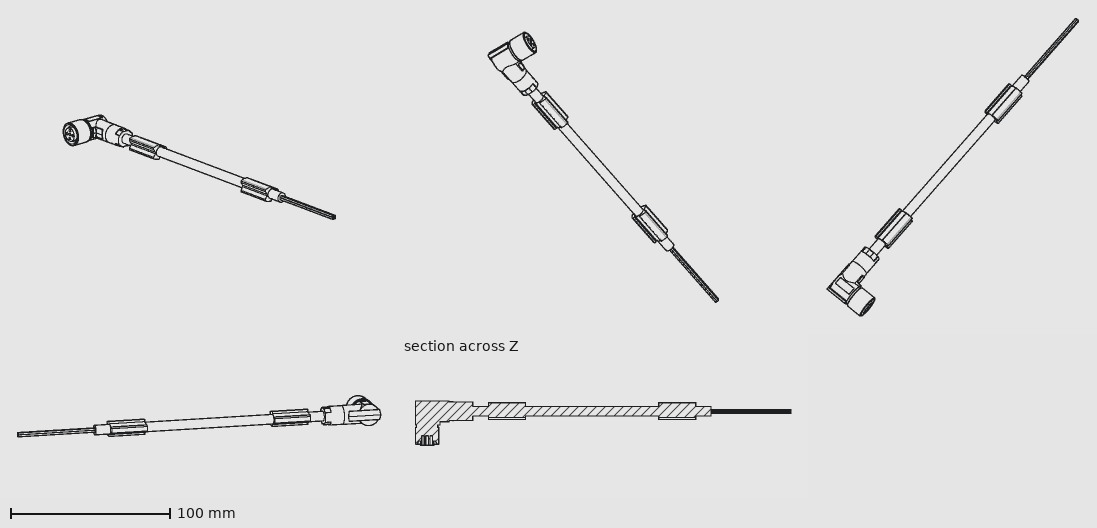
import cadquery as cq
import math

OVERALL_LENGTH = 236.25
JOIN = 0.2

NUT_RADIUS = 7.4
NUT_BACK_Y = -10.0
NUT_FRONT_Y = -20.8
NUT_CHAMFER = 0.3
BORE_MOUTH_RADIUS = 6.3
BORE_RADIUS = 5.2
BORE_DEPTH = 2.0
INSERT_RADIUS = 4.3
INSERT_FRONT_Y = -21.4
PIN_HOLE_RADIUS = 0.75
PIN_CIRCLE_RADIUS = 2.6
PIN_HOLE_DEPTH = 6.0
PIN_COUNT = 4

BODY_RADIUS = 6.9
BODY_BACK_Y = 5.1
BODY_FRONT_Y = -8.7
NECK_RADIUS = 6.7
WINDOW_WIDTH = 5.0
WINDOW_BACK_Y = 3.7
WINDOW_FRONT_Y = -7.6
WINDOW_FLOOR_Z = 6.2

RIB_SIDE = 6.6
RIB_LEFT_X = -NUT_RADIUS
RIB_END_X = 13.9
RIB_FOOT_X = 8.2
RIB_HALF_HEIGHT = 3.2
RIB_RISE = 0.7

SLEEVE_RADIUS = 5.95
BARREL_RADIUS = 6.05
BARREL_END_X = 16.4
SLEEVE_END_X = 24.9
COLLAR_END_X = 28.8
COLLAR_RADIUS = 5.6
COLLAR_LUG_HALF_HEIGHT = 3.1
NOTCH_HALF_WIDTH = 1.7
NOTCH_DEPTH = 0.6

CABLE_RADIUS = 3.1
CABLE_END_X = 178.6
WIRE_RADIUS = 0.68
WIRE_CENTER_Y = -0.2
WIRE_OFFSET_Y = 0.6
WIRE_OFFSET_Z = 0.65
WIRE_END_X = OVERALL_LENGTH - NUT_RADIUS

CLIP_STARTS_X = (38.5, 145.6)
CLIP_LENGTH = 23.4
CLIP_RING_RADIUS = 3.4
JAW_TOP_Z = 4.8
JAW_BACK_Y = -0.3
JAW_CROWN_Y = -2.6
JAW_CROWN_Z = 4.6
JAW_SHOULDER_Y = -4.4
JAW_SHOULDER_Z = 4.1
LIP_Y = -5.3
LIP_TOP_Z = 3.6
JAW_MOUTH_HALF_HEIGHT = 2.6
JAW_MOUTH_FLOOR_Y = -3.9
JAW_MOUTH_FLOOR_HALF_HEIGHT = 0.5
CLIP_LUG_NECK_HALF_HEIGHT = 1.2
CLIP_LUG_FLANGE_Y = 3.6
CLIP_LUG_BACK_Y = 5.5
CLIP_LUG_HALF_SPAN = 2.2
CLIP_LUG_CHAMFER = 0.8


def rod_x(radius, start_x, end_x, y=0, z=0):
    """Round rod along X."""
    return cq.Workplane("YZ", origin=(start_x, y, z)).circle(radius).extrude(end_x - start_x)


def rod_y(radius, back_y, front_y, x=0, z=0):
    """Round rod along Y, from its back end towards -Y."""
    return cq.Workplane("XZ", origin=(x, back_y, z)).circle(radius).extrude(back_y - front_y)


def block(x_range, y_range, z_range):
    """Box given by its limits along each axis."""
    size = [high - low for low, high in (x_range, y_range, z_range)]
    corner = (x_range[0], y_range[0], z_range[0])
    return cq.Workplane("XY").box(*size, centered=False).translate(corner)


def make_nut():
    nut = rod_y(NUT_RADIUS, NUT_BACK_Y, NUT_FRONT_Y).edges().chamfer(NUT_CHAMFER)
    floor_y = NUT_FRONT_Y + BORE_DEPTH
    recess = (
        cq.Workplane("XY")
        .polyline([(0, NUT_FRONT_Y), (BORE_MOUTH_RADIUS, NUT_FRONT_Y), (BORE_RADIUS, floor_y), (0, floor_y)])
        .close()
        .revolve(360, (0, 0, 0), (0, 1, 0))
    )
    return nut.cut(recess).union(rod_y(INSERT_RADIUS, floor_y + JOIN, INSERT_FRONT_Y))


def make_socket_cut():
    """One central pin hole and a circle of outer pin holes in the face of the insert."""
    hole_floor_y = INSERT_FRONT_Y + PIN_HOLE_DEPTH
    cutter = rod_y(PIN_HOLE_RADIUS, hole_floor_y, INSERT_FRONT_Y)
    for index in range(PIN_COUNT):
        angle = 2 * math.pi * index / PIN_COUNT
        x = PIN_CIRCLE_RADIUS * math.cos(angle)
        z = PIN_CIRCLE_RADIUS * math.sin(angle)
        cutter = cutter.union(rod_y(PIN_HOLE_RADIUS, hole_floor_y, INSERT_FRONT_Y, x, z))
    return cutter


def make_rib():
    """L-shaped plate whose edges slope back from the ridge at Z = 0."""
    taper = math.degrees(math.atan(RIB_RISE / RIB_HALF_HEIGHT))
    outline = [
        (RIB_LEFT_X, RIB_SIDE),
        (RIB_END_X, RIB_SIDE),
        (RIB_END_X, -RIB_SIDE),
        (RIB_FOOT_X, -RIB_SIDE),
        (RIB_FOOT_X, BODY_FRONT_Y),
        (RIB_LEFT_X, BODY_FRONT_Y),
    ]
    upper = cq.Workplane("XY").polyline(outline).close().extrude(RIB_HALF_HEIGHT, taper=taper)
    return upper.union(upper.mirror("XY"))


def make_housing():
    body = rod_y(BODY_RADIUS, BODY_BACK_Y, BODY_FRONT_Y)
    neck = rod_y(NECK_RADIUS, BODY_FRONT_Y + JOIN, NUT_BACK_Y - JOIN)
    window = block(
        (-WINDOW_WIDTH / 2, WINDOW_WIDTH / 2),
        (WINDOW_FRONT_Y, WINDOW_BACK_Y),
        (WINDOW_FLOOR_Z, BODY_RADIUS),
    )
    barrel = rod_x(BARREL_RADIUS, 0, BARREL_END_X)
    return body.union(neck).union(barrel).union(make_rib()).cut(window)


def make_outlet():
    sleeve = rod_x(SLEEVE_RADIUS, BARREL_END_X - JOIN, SLEEVE_END_X)
    collar = rod_x(COLLAR_RADIUS, SLEEVE_END_X - JOIN, COLLAR_END_X)
    collar_x = (SLEEVE_END_X, COLLAR_END_X)
    lugs = rod_x(SLEEVE_RADIUS, *collar_x).intersect(
        block(collar_x, (-SLEEVE_RADIUS, SLEEVE_RADIUS), (-COLLAR_LUG_HALF_HEIGHT, COLLAR_LUG_HALF_HEIGHT))
    )
    notch = block(
        collar_x,
        (-NOTCH_HALF_WIDTH, NOTCH_HALF_WIDTH),
        (COLLAR_RADIUS - NOTCH_DEPTH, COLLAR_RADIUS),
    )
    return sleeve.union(collar).union(lugs).cut(notch).cut(notch.mirror("XY"))


def make_cable():
    cable = rod_x(CABLE_RADIUS, COLLAR_END_X - JOIN, CABLE_END_X)
    for y in (WIRE_CENTER_Y - WIRE_OFFSET_Y, WIRE_CENTER_Y + WIRE_OFFSET_Y):
        for z in (-WIRE_OFFSET_Z, WIRE_OFFSET_Z):
            cable = cable.union(rod_x(WIRE_RADIUS, CABLE_END_X - JOIN, WIRE_END_X, y, z))
    return cable


def make_clip(start_x):
    """Ring around the cable with a T-shaped back lug and two jaws that leave a V mouth on the -Y side."""
    plane = cq.Workplane("YZ", origin=(start_x, 0, 0))
    jaws = (
        plane.moveTo(JAW_BACK_Y, -JAW_TOP_Z)
        .lineTo(JAW_BACK_Y, JAW_TOP_Z)
        .threePointArc((JAW_CROWN_Y, JAW_CROWN_Z), (JAW_SHOULDER_Y, JAW_SHOULDER_Z))
        .lineTo(LIP_Y, LIP_TOP_Z)
        .lineTo(LIP_Y, JAW_MOUTH_HALF_HEIGHT)
        .lineTo(JAW_MOUTH_FLOOR_Y, JAW_MOUTH_FLOOR_HALF_HEIGHT)
        .lineTo(JAW_MOUTH_FLOOR_Y, -JAW_MOUTH_FLOOR_HALF_HEIGHT)
        .lineTo(LIP_Y, -JAW_MOUTH_HALF_HEIGHT)
        .lineTo(LIP_Y, -LIP_TOP_Z)
        .lineTo(JAW_SHOULDER_Y, -JAW_SHOULDER_Z)
        .threePointArc((JAW_CROWN_Y, -JAW_CROWN_Z), (JAW_BACK_Y, -JAW_TOP_Z))
        .close()
        .extrude(CLIP_LENGTH)
    )
    end_x = start_x + CLIP_LENGTH
    x_range = (start_x, end_x)
    ring = rod_x(CLIP_RING_RADIUS, start_x, end_x)
    neck = block(x_range, (0, CLIP_LUG_BACK_Y), (-CLIP_LUG_NECK_HALF_HEIGHT, CLIP_LUG_NECK_HALF_HEIGHT))
    flange = block(x_range, (CLIP_LUG_FLANGE_Y, CLIP_LUG_BACK_Y), (-CLIP_LUG_HALF_SPAN, CLIP_LUG_HALF_SPAN))
    flange = flange.faces(">Y").edges("|X").chamfer(CLIP_LUG_CHAMFER)
    return jaws.union(ring).union(neck).union(flange)


result = make_housing().union(make_nut()).cut(make_socket_cut()).union(make_outlet()).union(make_cable())
for clip_start_x in CLIP_STARTS_X:
    result = result.union(make_clip(clip_start_x))